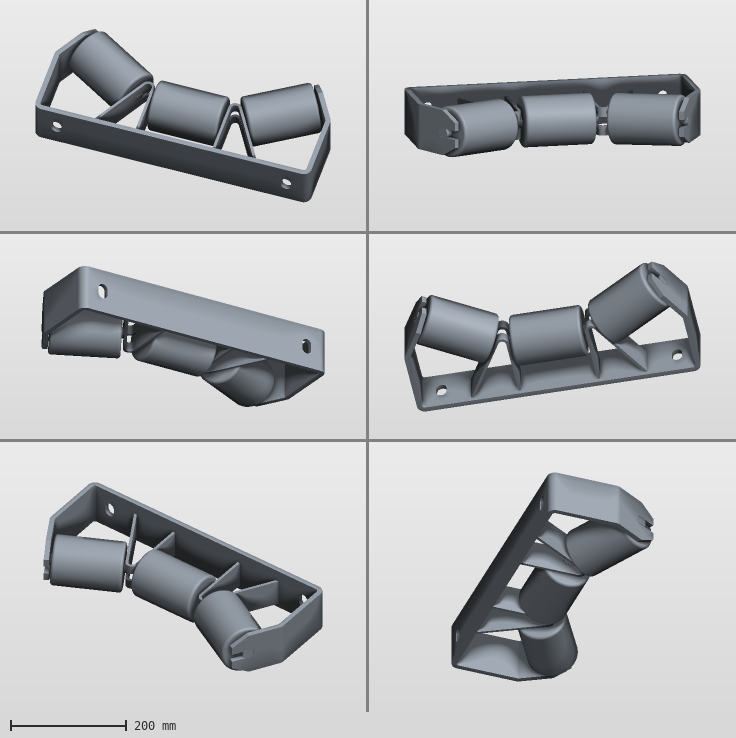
import cadquery as cq
import math

FRAME_LENGTH = 500.0
FRAME_HEIGHT = 80.0
FRAME_THICKNESS = 9.0
FRAME_INNER_RADIUS = 5.0
FLAP_BEND_Y = 122.5
FLAP_LENGTH = 90.5
FLAP_CHAMFER_ALONG = 31.5
FLAP_CHAMFER_UP = 17.5
MOUNT_HOLE_X = 208.0
MOUNT_HOLE_WIDTH = 18.0
MOUNT_HOLE_HEIGHT = 27.0
LEAN_ANGLE = 30.0

BRACKET_THICKNESS = 5.0
BRACKET_INNER_RADIUS = 7.0
BRACKET_HEIGHT = 50.0
BRACKET_FACE_X = 67.0
BRACKET_BEND_Y = 117.5

ROLLER_DIAMETER = 89.0
ROLLER_LENGTH = 125.0
ROLLER_FILLET = 5.0
AXLE_DIAMETER = 20.0
AXLE_FLAT_WIDTH = 14.5
AXLE_SHOULDER_GAP = 1.0
MIDDLE_ROLLER_Y = 101.5
BRACKET_AXLE_Z = 33.0
FLAP_AXLE_DROP = 30.5

SLOT_WIDTH = 15.5
SEAT_CLEARANCE = 0.5
CUT_MARGIN = 5.0

LEAN = math.radians(LEAN_ANGLE)
ALONG_FLAP = cq.Vector(-math.sin(LEAN), math.cos(LEAN), 0)
ACROSS_FLAP = cq.Vector(math.cos(LEAN), math.sin(LEAN), 0)
X_AXIS = cq.Vector(1, 0, 0)
Y_AXIS = cq.Vector(0, 1, 0)
Z_AXIS = cq.Vector(0, 0, 1)

FRAME_OUTER_RADIUS = FRAME_INNER_RADIUS + FRAME_THICKNESS
FRAME_BEND_X = FRAME_LENGTH / 2 - FRAME_OUTER_RADIUS
CORNER_CENTER = cq.Vector(FRAME_BEND_X, FRAME_OUTER_RADIUS, 0)
FLAP_CENTER = cq.Vector(FRAME_BEND_X, FLAP_BEND_Y, 0)
FLAP_TIP = FLAP_CENTER + ACROSS_FLAP * FRAME_OUTER_RADIUS + ALONG_FLAP * FLAP_LENGTH
FLAP_INNER_TIP = FLAP_TIP - ACROSS_FLAP * FRAME_THICKNESS

BRACKET_OUTER_RADIUS = BRACKET_INNER_RADIUS + BRACKET_THICKNESS
BRACKET_CENTER = cq.Vector(BRACKET_FACE_X + BRACKET_OUTER_RADIUS, BRACKET_BEND_Y, 0)
SLANTED_LEG_TOP = BRACKET_CENTER + ACROSS_FLAP * BRACKET_OUTER_RADIUS

MIDDLE_AXLE_END = cq.Vector(BRACKET_FACE_X + BRACKET_THICKNESS, MIDDLE_ROLLER_Y, BRACKET_AXLE_Z)
MIDDLE_AXLE_START = cq.Vector(-MIDDLE_AXLE_END.x, MIDDLE_ROLLER_Y, BRACKET_AXLE_Z)
OUTER_AXLE_END = FLAP_TIP - ALONG_FLAP * FLAP_AXLE_DROP + Z_AXIS * (FRAME_HEIGHT / 2)
FLAP_TO_LEG_FACE = (FLAP_TIP - SLANTED_LEG_TOP).dot(ACROSS_FLAP)
LEG_FACE_POINT = OUTER_AXLE_END - ACROSS_FLAP * FLAP_TO_LEG_FACE
LEG_FACE_POINT.z = BRACKET_AXLE_Z
OUTER_AXLE_START = LEG_FACE_POINT - ACROSS_FLAP * BRACKET_THICKNESS


def point_on_bend(center, radius, angle):
    """X and Y of the point on a bend at this angle, in degrees from +X."""
    turn = math.radians(angle)
    return (center.x + radius * math.cos(turn), center.y + radius * math.sin(turn))


def bend(outline, center, radius, first_angle, last_angle):
    """Continue an outline to a bend and around it."""
    return outline.lineTo(*point_on_bend(center, radius, first_angle)).threePointArc(
        point_on_bend(center, radius, (first_angle + last_angle) / 2),
        point_on_bend(center, radius, last_angle),
    )


def axle_slot(axle_point, along, across, thickness):
    """Cutter for a slot open towards `along`, through the plate whose outer face holds axle_point."""
    depth = thickness + 2 * CUT_MARGIN
    plane = cq.Plane(axle_point - across * (thickness + CUT_MARGIN), xDir=along, normal=across)
    channel_length = 2 * AXLE_DIAMETER
    seat_radius = AXLE_DIAMETER / 2 + SEAT_CLEARANCE
    seat = cq.Workplane(plane).circle(seat_radius).extrude(depth)
    width_limit = cq.Workplane(plane).rect(2 * channel_length, SLOT_WIDTH).extrude(depth)
    channel = cq.Workplane(plane).center(channel_length / 2, 0).rect(channel_length, SLOT_WIDTH).extrude(depth)
    return seat.intersect(width_limit).union(channel)


def flap_chamfers():
    """Cutters for the upper and lower corner of the flap tip."""
    middle_tip = FLAP_TIP + ACROSS_FLAP * CUT_MARGIN + Z_AXIS * (FRAME_HEIGHT / 2)
    plane = cq.Plane(middle_tip, xDir=ALONG_FLAP * -1, normal=(ALONG_FLAP * -1).cross(Z_AXIS))
    corner = (
        cq.Workplane(plane)
        .moveTo(0, FRAME_HEIGHT / 2)
        .lineTo(FLAP_CHAMFER_ALONG, FRAME_HEIGHT / 2)
        .lineTo(0, FRAME_HEIGHT / 2 - FLAP_CHAMFER_UP)
        .close()
        .extrude(FRAME_THICKNESS + 2 * CUT_MARGIN)
    )
    return corner.union(corner.mirror("XY", (0, 0, FRAME_HEIGHT / 2)))


def make_frame():
    outline = cq.Workplane("XY").moveTo(0, 0)
    outline = bend(outline, CORNER_CENTER, FRAME_OUTER_RADIUS, -90, 0)
    outline = bend(outline, FLAP_CENTER, FRAME_OUTER_RADIUS, 0, LEAN_ANGLE)
    outline = outline.lineTo(FLAP_TIP.x, FLAP_TIP.y).lineTo(FLAP_INNER_TIP.x, FLAP_INNER_TIP.y)
    outline = bend(outline, FLAP_CENTER, FRAME_INNER_RADIUS, LEAN_ANGLE, 0)
    outline = bend(outline, CORNER_CENTER, FRAME_INNER_RADIUS, 0, -90)
    half = outline.lineTo(0, FRAME_THICKNESS).close().extrude(FRAME_HEIGHT)

    half = half.cut(flap_chamfers())
    half = half.cut(axle_slot(OUTER_AXLE_END, ALONG_FLAP, ACROSS_FLAP, FRAME_THICKNESS))
    mount_hole = (
        cq.Workplane("XZ")
        .center(MOUNT_HOLE_X, FRAME_HEIGHT / 2)
        .slot2D(MOUNT_HOLE_HEIGHT, MOUNT_HOLE_WIDTH, 90)
        .extrude(-FRAME_THICKNESS)
    )
    half = half.cut(mount_hole)
    return half.union(half.mirror("YZ"))


def slanted_foot(radius):
    """Where the slanted leg face that leaves the bend at this radius meets the frame's back."""
    x, y = point_on_bend(BRACKET_CENTER, radius, LEAN_ANGLE)
    return (x + (y - FRAME_THICKNESS) * math.tan(LEAN), FRAME_THICKNESS)


def make_bracket():
    """The bracket on the +X side."""
    bottom_z = BRACKET_AXLE_Z - BRACKET_HEIGHT / 2
    outline = cq.Workplane("XY", origin=(0, 0, bottom_z)).moveTo(BRACKET_FACE_X, FRAME_THICKNESS)
    outline = bend(outline, BRACKET_CENTER, BRACKET_OUTER_RADIUS, 180, LEAN_ANGLE)
    outline = outline.lineTo(*slanted_foot(BRACKET_OUTER_RADIUS)).lineTo(*slanted_foot(BRACKET_INNER_RADIUS))
    outline = bend(outline, BRACKET_CENTER, BRACKET_INNER_RADIUS, LEAN_ANGLE, 180)
    straight_leg_inner_x = BRACKET_FACE_X + BRACKET_THICKNESS
    bracket = outline.lineTo(straight_leg_inner_x, FRAME_THICKNESS).close().extrude(BRACKET_HEIGHT)

    bracket = bracket.cut(axle_slot(MIDDLE_AXLE_END, Y_AXIS, X_AXIS, BRACKET_THICKNESS))
    bracket = bracket.cut(axle_slot(LEG_FACE_POINT, ALONG_FLAP, ACROSS_FLAP, BRACKET_THICKNESS))
    bend_width = 2 * BRACKET_OUTER_RADIUS + CUT_MARGIN
    bend_slot = (
        cq.Workplane("XY", origin=(BRACKET_CENTER.x, BRACKET_CENTER.y, BRACKET_AXLE_Z))
        .box(bend_width, bend_width, SLOT_WIDTH, centered=(True, False, True))
    )
    return bracket.cut(bend_slot)


def make_roller(axle_start, axle_end, start_plate, end_plate):
    """Drum and axle in one body; the axle has flats where it sits in plates of these thicknesses."""
    axis = (axle_end - axle_start).normalized()
    level_side = Z_AXIS.cross(axis)
    upward = axis.cross(level_side)
    axle_length = (axle_end - axle_start).Length
    clear_length = axle_length - start_plate - end_plate

    def section_at(distance, x_direction):
        return cq.Workplane(cq.Plane(axle_start + axis * distance, xDir=x_direction, normal=axis))

    drum_start = start_plate + (clear_length - ROLLER_LENGTH) / 2
    drum = section_at(drum_start, upward).circle(ROLLER_DIAMETER / 2).extrude(ROLLER_LENGTH)
    drum = drum.faces("%PLANE").edges().fillet(ROLLER_FILLET)

    flatted_axle = section_at(0, level_side).circle(AXLE_DIAMETER / 2).extrude(axle_length)
    flats = section_at(0, level_side).rect(AXLE_DIAMETER, AXLE_FLAT_WIDTH).extrude(axle_length)
    flatted_axle = flatted_axle.intersect(flats)
    round_start = start_plate + AXLE_SHOULDER_GAP
    round_length = clear_length - 2 * AXLE_SHOULDER_GAP
    round_axle = section_at(round_start, upward).circle(AXLE_DIAMETER / 2).extrude(round_length)
    return drum.union(flatted_axle).union(round_axle)


frame = make_frame()
middle_roller = make_roller(MIDDLE_AXLE_START, MIDDLE_AXLE_END, BRACKET_THICKNESS, BRACKET_THICKNESS)

brackets = []
outer_rollers = []
for mirrored in (False, True):
    bracket = make_bracket()
    outer_roller = make_roller(OUTER_AXLE_START, OUTER_AXLE_END, BRACKET_THICKNESS, FRAME_THICKNESS)
    if mirrored:
        bracket = bracket.mirror("YZ")
        outer_roller = outer_roller.mirror("YZ")
    brackets.append(bracket.val())
    outer_rollers.append(outer_roller.val())

result = cq.Compound.makeCompound([frame.val(), *brackets, middle_roller.val(), *outer_rollers])